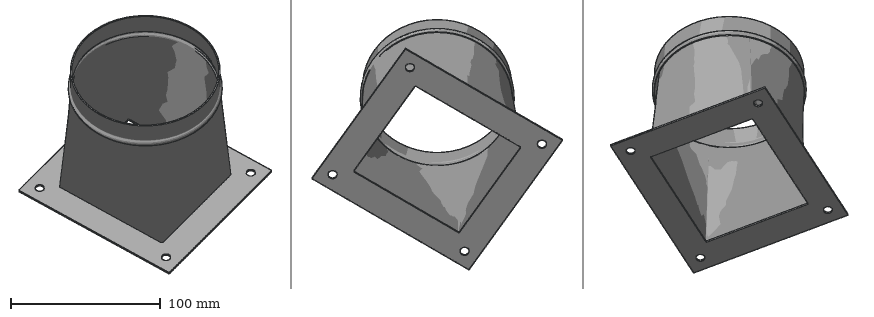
import cadquery as cq
import math

FLANGE_LENGTH = 125.0
FLANGE_WIDTH = 115.0
FLANGE_THICKNESS = 1.5
HOLE_DIAMETER = 6.0
HOLE_INSET = 10.0

TOTAL_HEIGHT = 110.0
WALL = 1.0
FOOT_LENGTH = 86.0
FOOT_WIDTH = 78.0
FOOT_CORNER_RADIUS = 1.5
SPIGOT_RADIUS = 50.0
CORNER_SLIVER_DEGREES = 0.3

BEAD_DEPTH_FROM_TOP = 17.0
BEAD_Z = TOTAL_HEIGHT - BEAD_DEPTH_FROM_TOP
BEAD_PROTRUSION = 1.5
BEAD_CREST_RADIUS = 2.5
BEAD_ROOT_RADIUS = 0.8

BEAD_CENTER_SPACING = BEAD_CREST_RADIUS + BEAD_ROOT_RADIUS
BEAD_TILT = math.acos(1 - BEAD_PROTRUSION / BEAD_CENTER_SPACING)
BEAD_HALF_WIDTH = BEAD_CENTER_SPACING * math.sin(BEAD_TILT)

SPIGOT_BASE_Z = BEAD_Z - BEAD_HALF_WIDTH


def foot_profile(offset):
    """Rounded rectangle of the duct foot, moved inward by offset."""
    half_x = FOOT_LENGTH / 2 - offset
    half_y = FOOT_WIDTH / 2 - offset
    radius = FOOT_CORNER_RADIUS - offset
    center_x = half_x - radius
    center_y = half_y - radius
    mid = radius * math.sqrt(0.5)
    return (
        cq.Workplane("XY", origin=(0, 0, FLANGE_THICKNESS))
        .moveTo(half_x, -center_y)
        .lineTo(half_x, center_y)
        .threePointArc((center_x + mid, center_y + mid), (center_x, half_y))
        .lineTo(-center_x, half_y)
        .threePointArc((-center_x - mid, center_y + mid), (-half_x, center_y))
        .lineTo(-half_x, -center_y)
        .threePointArc((-center_x - mid, -center_y - mid), (-center_x, -half_y))
        .lineTo(center_x, -half_y)
        .threePointArc((center_x + mid, -center_y - mid), (half_x, -center_y))
        .close()
        .val()
    )


def round_profile(offset):
    """Spigot circle, moved inward by offset and split into one arc per foot side and corner."""
    radius = SPIGOT_RADIUS - offset
    diagonal = math.atan2(FOOT_WIDTH, FOOT_LENGTH)
    corner_angles = [diagonal, math.pi - diagonal, math.pi + diagonal, 2 * math.pi - diagonal]

    def point(angle):
        return (radius * math.cos(angle), radius * math.sin(angle))

    half_sliver = math.radians(CORNER_SLIVER_DEGREES) / 2
    angle = -diagonal + half_sliver
    profile = cq.Workplane("XY", origin=(0, 0, SPIGOT_BASE_Z)).moveTo(*point(angle))
    for corner in corner_angles:
        side_end = corner - half_sliver
        corner_end = corner + half_sliver
        profile = profile.threePointArc(point((angle + side_end) / 2), point(side_end))
        profile = profile.threePointArc(point(corner), point(corner_end))
        angle = corner_end
    return profile.wire().val()


def solid_transition(offset):
    """Solid rectangle-to-round transition, moved inward by offset."""
    return cq.Workplane(cq.Solid.makeLoft([foot_profile(offset), round_profile(offset)], True))


def spigot():
    """Revolved tube whose wall bulges outward into the rolled bead."""
    outer = SPIGOT_RADIUS
    inner = SPIGOT_RADIUS - WALL
    crest_center_r = outer + BEAD_PROTRUSION - BEAD_CREST_RADIUS
    root_center_r = outer + BEAD_ROOT_RADIUS

    def root_point(side, angle, radius):
        r = root_center_r - radius * math.cos(angle)
        return (r, BEAD_Z + side * (BEAD_HALF_WIDTH - radius * math.sin(angle)))

    def add_bead(profile, side, crest_radius, root_radius):
        """Bead arcs on one wall face; side is +1 from the top down and -1 from the bottom up."""
        crest = (crest_center_r + crest_radius, BEAD_Z)
        first_mid = root_point(side, BEAD_TILT / 2, root_radius)
        first_end = root_point(side, BEAD_TILT, root_radius)
        last_start = root_point(-side, BEAD_TILT, root_radius)
        last_mid = root_point(-side, BEAD_TILT / 2, root_radius)
        last_end = root_point(-side, 0, root_radius)
        return (
            profile
            .threePointArc(first_mid, first_end)
            .threePointArc(crest, last_start)
            .threePointArc(last_mid, last_end)
        )

    profile = cq.Workplane("XZ").moveTo(outer, TOTAL_HEIGHT).lineTo(outer, BEAD_Z + BEAD_HALF_WIDTH)
    profile = add_bead(profile, 1, BEAD_CREST_RADIUS, BEAD_ROOT_RADIUS)
    profile = profile.lineTo(inner, SPIGOT_BASE_Z)
    profile = add_bead(profile, -1, BEAD_CREST_RADIUS - WALL, BEAD_ROOT_RADIUS + WALL)
    profile = profile.lineTo(inner, TOTAL_HEIGHT).close()
    return profile.revolve(360, (0, 0, 0), (0, 1, 0))


def make_duct():
    """Thin-walled transition from the flange opening up to the beaded spigot."""
    transition = solid_transition(0).cut(solid_transition(WALL))
    return transition.union(spigot())


def make_flange():
    """Flat plate with four corner holes and an opening that matches the inside of the duct foot."""
    opening_length = FOOT_LENGTH - 2 * WALL
    opening_width = FOOT_WIDTH - 2 * WALL
    opening_corner_radius = FOOT_CORNER_RADIUS - WALL
    opening = (
        cq.Workplane("XY")
        .rect(opening_length, opening_width)
        .extrude(FLANGE_THICKNESS)
        .edges("|Z")
        .fillet(opening_corner_radius)
    )
    holes = (
        cq.Workplane("XY")
        .rect(FLANGE_LENGTH - 2 * HOLE_INSET, FLANGE_WIDTH - 2 * HOLE_INSET, forConstruction=True)
        .vertices()
        .circle(HOLE_DIAMETER / 2)
        .extrude(FLANGE_THICKNESS)
    )
    plate = cq.Workplane("XY").rect(FLANGE_LENGTH, FLANGE_WIDTH).extrude(FLANGE_THICKNESS)
    return plate.cut(opening).cut(holes)


flange = make_flange()
duct = make_duct()
result = cq.Compound.makeCompound([flange.solids().val(), duct.solids().val()])